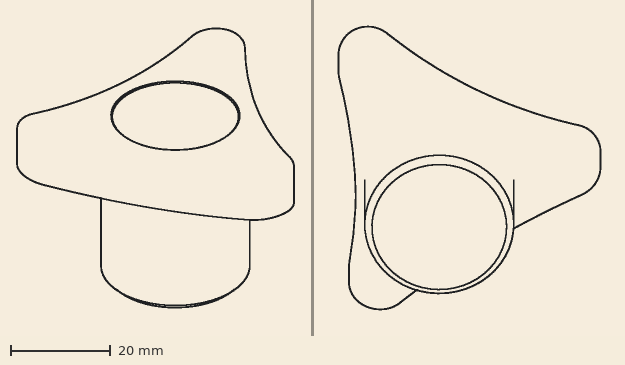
import cadquery as cq
import math

overall_height = 38.7
arm_count = 3

tip_center_radius = 26.45
tip_radius = 6.0
flank_middle_radius = 16.9

dish_radius = 254.7
dish_drop = 1.9
underside_radius = 110.0
underside_drop = 14.8
top_fillet = 1.15
bottom_fillet = 0.6

hub_diameter = 30.0
hub_chamfer = 1.45
neck_fillet = 0.85

recess_diameter = 25.4
recess_depth = 0.85
recess_chamfer = 0.25
recess_floor_fillet = 0.2

dish_bottom_z = overall_height - dish_drop
underside_z = overall_height - underside_drop


def polar(radius, angle):
    """Point at a distance from the hub axis, angle in degrees."""
    return (radius * math.cos(math.radians(angle)), radius * math.sin(math.radians(angle)))


def tangent_offset():
    """Angle of the tip-to-flank tangent point, seen from the tip centre and
    measured from the direction square to the flank."""
    half_span = tip_center_radius * math.sin(math.pi / arm_count)
    rise = flank_middle_radius - tip_center_radius * math.cos(math.pi / arm_count)
    flank_radius = (half_span**2 + rise**2 - tip_radius**2) / (2 * (tip_radius - rise))
    return math.degrees(math.asin(half_span / (flank_radius + tip_radius)))


def head_outline():
    """Rounded arm tips joined by tangent hollow flanks."""
    step = 360 / arm_count
    sweep = step / 2 + tangent_offset()

    def tip_point(arm_angle, turn):
        cx, cy = polar(tip_center_radius, arm_angle)
        dx, dy = polar(tip_radius, arm_angle + turn)
        return (cx + dx, cy + dy)

    first_angle = 90
    outline = cq.Workplane("XY").moveTo(*tip_point(first_angle, -sweep))
    for arm in range(arm_count):
        angle = first_angle + arm * step
        outline = outline.threePointArc(tip_point(angle, 0), tip_point(angle, sweep))
        outline = outline.threePointArc(
            polar(flank_middle_radius, angle + step / 2),
            tip_point(angle + step, -sweep),
        )
    return outline.close()


def sphere_height(radius, bottom_z, distance):
    """Height of an upward-curving sphere at a distance from the hub axis."""
    return bottom_z + radius - math.sqrt(radius**2 - distance**2)


def dished_blank():
    """Round blank between the underside sphere and the dish sphere."""
    rim = tip_center_radius + 2 * tip_radius
    half = rim / 2
    return (
        cq.Workplane("XZ")
        .moveTo(0, underside_z)
        .threePointArc(
            (half, sphere_height(underside_radius, underside_z, half)),
            (rim, sphere_height(underside_radius, underside_z, rim)),
        )
        .lineTo(rim, sphere_height(dish_radius, dish_bottom_z, rim))
        .threePointArc(
            (half, sphere_height(dish_radius, dish_bottom_z, half)),
            (0, dish_bottom_z),
        )
        .close()
        .revolve(360, (0, 0, 0), (0, 1, 0))
    )


def head():
    body = head_outline().extrude(2 * overall_height).intersect(dished_blank())
    body = body.faces(">Z").edges().fillet(top_fillet)
    return body.faces("<Z").edges().fillet(bottom_fillet)


def hub():
    middle_z = (underside_z + dish_bottom_z) / 2
    return cq.Workplane("XY").circle(hub_diameter / 2).extrude(middle_z).faces("<Z").chamfer(hub_chamfer)


def neck_edges(body):
    """Joint between the hub and the underside of the head."""
    joint_z = sphere_height(underside_radius, underside_z, hub_diameter / 2)
    margin = 0.6
    reach = hub_diameter / 2 + margin
    return body.edges(cq.selectors.BoxSelector(
        (-reach, -reach, joint_z - margin),
        (reach, reach, joint_z + margin),
        boundingbox=True,
    ))


def recess():
    radius = recess_diameter / 2
    floor_z = dish_bottom_z - recess_depth
    mouth_z = sphere_height(dish_radius, dish_bottom_z, radius)
    straight = cq.Workplane("XY").workplane(offset=floor_z).circle(radius).extrude(overall_height)
    straight = straight.faces("<Z").edges().fillet(recess_floor_fillet)
    flare = cq.Solid.makeCone(
        radius, radius + 2 * recess_chamfer, 2 * recess_chamfer,
        pnt=cq.Vector(0, 0, mouth_z - recess_chamfer),
    )
    return straight.union(cq.Workplane(obj=flare))


knob = head().union(hub())
knob = neck_edges(knob).fillet(neck_fillet)
result = knob.cut(recess())